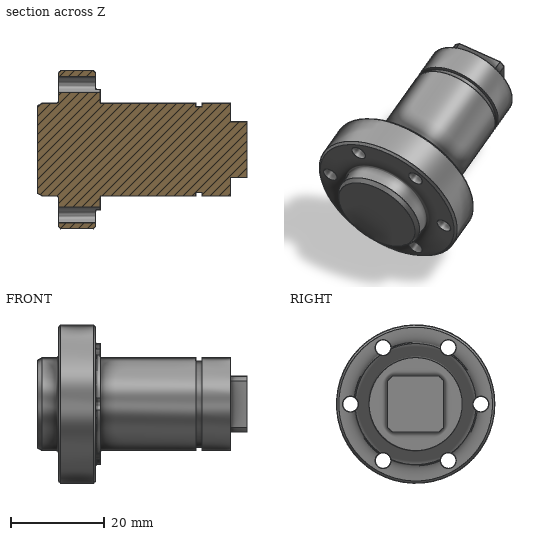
import cadquery as cq

total_length = 45.0

body_diameter = 20.0
nose_length = 4.5
nose_chamfer_length = 1.0
nose_chamfer_depth = 0.6
nose_fillet = 0.5

flange_diameter = 34.0
flange_thickness = 8.0
flange_chamfer = 0.5
ring_diameter = 26.0
ring_height = 1.0
back_fillet = 0.25

bolt_count = 6
bolt_circle_diameter = 28.0
bolt_hole_diameter = 3.35

groove_start = 34.0
groove_width = 1.3
groove_diameter = 18.55

drive_length = 3.5
drive_width = 12.0
drive_chamfer = 1.0

flange_back = nose_length + flange_thickness
ring_back = flange_back + ring_height
body_end = total_length - drive_length


def cylinder(start, length, diameter):
    """Solid cylinder along +X, starting at the given X position."""
    return cq.Workplane("YZ", origin=(start, 0, 0)).circle(diameter / 2).extrude(length)


def flanged_body():
    """Revolve the nose, flange, ring and main cylinder, with fillets in the inner corners."""
    body_radius = body_diameter / 2
    flange_radius = flange_diameter / 2
    ring_radius = ring_diameter / 2
    profile = (
        cq.Workplane("XY")
        .lineTo(0, body_radius - nose_chamfer_depth)
        .lineTo(nose_chamfer_length, body_radius)
        .lineTo(nose_length - nose_fillet, body_radius)
        .radiusArc((nose_length, body_radius + nose_fillet), -nose_fillet)
        .lineTo(nose_length, flange_radius - flange_chamfer)
        .lineTo(nose_length + flange_chamfer, flange_radius)
        .lineTo(flange_back - flange_chamfer, flange_radius)
        .lineTo(flange_back, flange_radius - flange_chamfer)
        .lineTo(flange_back, ring_radius + back_fillet)
        .radiusArc((flange_back + back_fillet, ring_radius), -back_fillet)
        .lineTo(ring_back, ring_radius)
        .lineTo(ring_back, body_radius + back_fillet)
        .radiusArc((ring_back + back_fillet, body_radius), -back_fillet)
        .lineTo(body_end, body_radius)
        .lineTo(body_end, 0)
        .close()
    )
    return profile.revolve(360, (0, 0, 0), (1, 0, 0))


def bolt_holes():
    """Through holes that also scallop the rim of the ring."""
    return (
        cq.Workplane("YZ", origin=(nose_length, 0, 0))
        .polarArray(bolt_circle_diameter / 2, 0, 360, bolt_count)
        .circle(bolt_hole_diameter / 2)
        .extrude(flange_thickness + ring_height)
    )


def retaining_groove():
    outer = cylinder(groove_start, groove_width, body_diameter)
    return outer.cut(cylinder(groove_start, groove_width, groove_diameter))


def square_drive():
    return (
        cq.Workplane("YZ", origin=(body_end, 0, 0))
        .rect(drive_width, drive_width)
        .extrude(drive_length)
        .edges("|X")
        .chamfer(drive_chamfer)
    )


result = flanged_body().union(square_drive()).cut(bolt_holes()).cut(retaining_groove())